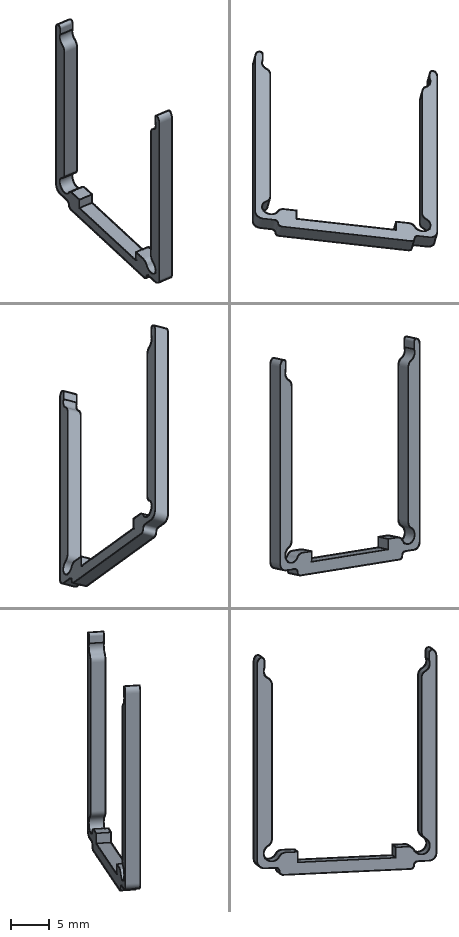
import cadquery as cq
import math

width = 24.0
depth = 2.0
height = 28.85
half_width = width / 2

wall_thickness = 2.0
lip_thickness = 0.98
corner_radius = 1.0
lip_outer_radius = 1.0
lip_tip_radius = 0.4

groove_radius = 1.1
upper_groove_height = 27.05
wall_blend_radius = 1.0
land_blend_radius = 0.95

land_height = 2.97
lower_groove_height = land_height
floor_height = 1.6
floor_half_length = 6.55
foot_height = 0.98
foot_half_length = 9.0
foot_curve_radius = foot_height / 2

wall_x = half_width - wall_thickness
lip_x = half_width - lip_thickness


def blend_reach(blend_radius):
    """Distance from groove centre to where a blend meets a face line through that centre."""
    return math.sqrt((groove_radius + blend_radius) ** 2 - blend_radius ** 2)


def between(start, end, fraction):
    """Point at a fraction of the way from start to end."""
    return tuple(s + fraction * (e - s) for s, e in zip(start, end))


def arc_middle(centre, start, end):
    """Middle of the shorter arc from start to end about centre."""
    radius = math.dist(centre, start)
    chord_middle = between(start, end, 0.5)
    return between(centre, chord_middle, radius / math.dist(centre, chord_middle))


def half_profile():
    """Right-hand half of the section, drawn from the symmetry plane outwards."""
    lower_centre = (wall_x, lower_groove_height)
    upper_centre = (wall_x, upper_groove_height)

    land_tangent = (wall_x - blend_reach(land_blend_radius), land_height)
    land_blend_centre = (land_tangent[0], land_height - land_blend_radius)
    land_share = groove_radius / (groove_radius + land_blend_radius)
    land_joint = between(lower_centre, land_blend_centre, land_share)

    wall_reach = blend_reach(wall_blend_radius)
    wall_share = groove_radius / (groove_radius + wall_blend_radius)
    lower_tangent = (wall_x, lower_groove_height + wall_reach)
    lower_blend_centre = (wall_x + wall_blend_radius, lower_tangent[1])
    lower_joint = between(lower_centre, lower_blend_centre, wall_share)
    upper_tangent = (wall_x, upper_groove_height - wall_reach)
    upper_blend_centre = (wall_x + wall_blend_radius, upper_tangent[1])
    upper_joint = between(upper_centre, upper_blend_centre, wall_share)

    lip_offset = lip_x - wall_x
    lip_joint = (lip_x, upper_groove_height + math.sqrt(groove_radius ** 2 - lip_offset ** 2))

    corner_offset = groove_radius / math.sqrt(2)
    lower_groove_middle = (wall_x + corner_offset, lower_groove_height - corner_offset)

    tip_centre = (lip_x + lip_tip_radius, height - lip_tip_radius)
    tip_start = (lip_x, tip_centre[1])
    outer_centre_x = half_width - lip_outer_radius
    centre_distance = lip_outer_radius - lip_tip_radius
    centre_drop = math.sqrt(centre_distance ** 2 - (tip_centre[0] - outer_centre_x) ** 2)
    outer_centre = (outer_centre_x, tip_centre[1] - centre_drop)
    tip_joint = between(outer_centre, tip_centre, lip_outer_radius / centre_distance)
    outer_end = (half_width, outer_centre[1])
    tip_top = (tip_centre[0], height)

    foot_start = (foot_half_length + foot_curve_radius, foot_height)
    foot_middle = (foot_half_length, foot_curve_radius)
    foot_end = (foot_half_length - foot_curve_radius, 0)
    upper_foot_centre = (foot_start[0], foot_curve_radius)
    lower_foot_centre = (foot_end[0], foot_curve_radius)

    return (
        cq.Workplane("XZ", origin=(0, depth / 2, 0))
        .moveTo(0, floor_height)
        .lineTo(floor_half_length, floor_height)
        .lineTo(floor_half_length, land_height)
        .lineTo(*land_tangent)
        .threePointArc(arc_middle(land_blend_centre, land_tangent, land_joint), land_joint)
        .threePointArc(lower_groove_middle, lower_joint)
        .threePointArc(arc_middle(lower_blend_centre, lower_joint, lower_tangent), lower_tangent)
        .lineTo(*upper_tangent)
        .threePointArc(arc_middle(upper_blend_centre, upper_tangent, upper_joint), upper_joint)
        .threePointArc(arc_middle(upper_centre, upper_joint, lip_joint), lip_joint)
        .lineTo(*tip_start)
        .threePointArc(tip_top, tip_joint)
        .threePointArc(arc_middle(outer_centre, tip_joint, outer_end), outer_end)
        .lineTo(half_width, foot_height)
        .lineTo(*foot_start)
        .threePointArc(arc_middle(upper_foot_centre, foot_start, foot_middle), foot_middle)
        .threePointArc(arc_middle(lower_foot_centre, foot_middle, foot_end), foot_end)
        .lineTo(0, 0)
        .close()
    )


half = half_profile().extrude(depth)
outer_corner = cq.selectors.NearestToPointSelector((half_width, 0, foot_height))
half = half.edges("|Y").edges(outer_corner).fillet(corner_radius)

result = half.union(half.mirror("YZ")).clean()